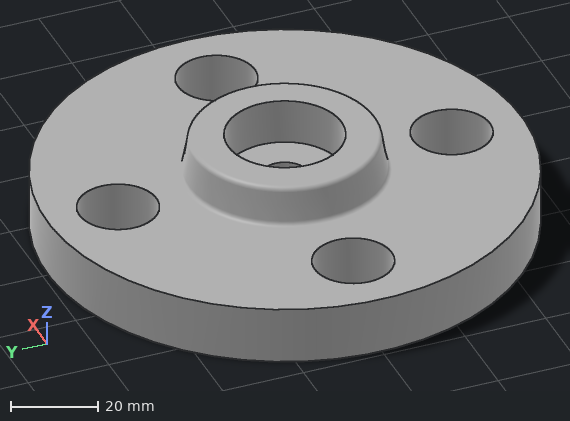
import cadquery as cq

flange_diameter = 117.3
flange_thickness = 14.3

overall_height = 23.9
hub_height = overall_height - flange_thickness
hub_base_diameter = 47.7
hub_top_diameter = 44.2
hub_fillet_radius = 1.5

socket_diameter = 27.9
socket_depth = 11.3
bore_diameter = 11.0

bolt_circle_diameter = 82.6
bolt_hole_diameter = 19.0
bolt_hole_count = 4


def make_flange():
    """Plain round disc."""
    return cq.Workplane("XY").circle(flange_diameter / 2).extrude(flange_thickness)


def make_hub():
    """Truncated cone that narrows from the disc up to the hub face."""
    return (
        cq.Workplane("XY")
        .workplane(offset=flange_thickness)
        .circle(hub_base_diameter / 2)
        .workplane(offset=hub_height)
        .circle(hub_top_diameter / 2)
        .loft()
    )


def round_hub(body):
    """Round the rim of the hub and the corner where it meets the disc."""
    body = body.faces(">Z").edges().fillet(hub_fillet_radius)
    hub_foot = cq.selectors.RadiusNthSelector(-2)
    return body.edges("%CIRCLE").edges(hub_foot).fillet(hub_fillet_radius)


def cut_socket_and_bore(body):
    """Stepped central hole: a wide socket above a narrow through bore."""
    return body.faces(">Z").workplane(origin=(0, 0, 0)).cboreHole(
        bore_diameter, socket_diameter, socket_depth
    )


def cut_bolt_holes(body):
    """Evenly spaced through holes on the bolt circle."""
    holes = (
        cq.Workplane("XY")
        .polarArray(bolt_circle_diameter / 2, 0, 360, bolt_hole_count)
        .circle(bolt_hole_diameter / 2)
        .extrude(flange_thickness)
    )
    return body.cut(holes)


blank = round_hub(make_flange().union(make_hub()))
result = cut_bolt_holes(cut_socket_and_bore(blank))